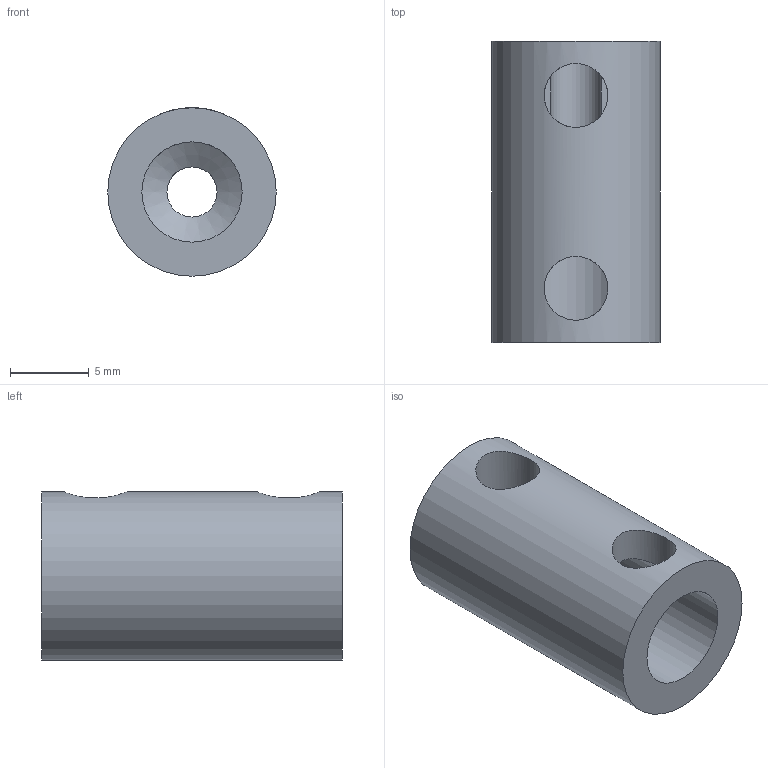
import cadquery as cq
import math

outer_diameter = 10.668
length = 19.05

wide_bore_diameter = 6.35
narrow_bore_diameter = 3.175
wide_bore_depth = length / 2
drill_point_angle = 118.0

screw_hole_diameter = 4.04
screw_hole_end_distance = 3.42

front_y = -length / 2
back_y = length / 2


def make_sleeve():
    """Solid cylinder along Y."""
    return cq.Workplane("XZ", origin=(0, back_y, 0)).circle(outer_diameter / 2).extrude(length)


def make_stepped_bore():
    """Wide bore, conical drill-point shoulder and narrow bore, revolved about Y."""
    wide_radius = wide_bore_diameter / 2
    narrow_radius = narrow_bore_diameter / 2
    shoulder_y = front_y + wide_bore_depth
    cone_length = (wide_radius - narrow_radius) / math.tan(math.radians(drill_point_angle / 2))
    return (
        cq.Workplane("XY")
        .moveTo(0, front_y)
        .lineTo(wide_radius, front_y)
        .lineTo(wide_radius, shoulder_y)
        .lineTo(narrow_radius, shoulder_y + cone_length)
        .lineTo(narrow_radius, back_y)
        .lineTo(0, back_y)
        .close()
        .revolve(360, (0, 0, 0), (0, 1, 0))
    )


def make_screw_holes():
    """One flat-bottomed hole near each end, from the axis out through the top wall."""
    hole_y = length / 2 - screw_hole_end_distance
    return (
        cq.Workplane("XY")
        .pushPoints([(0, -hole_y), (0, hole_y)])
        .circle(screw_hole_diameter / 2)
        .extrude(outer_diameter / 2)
    )


result = make_sleeve().cut(make_stepped_bore()).cut(make_screw_holes())